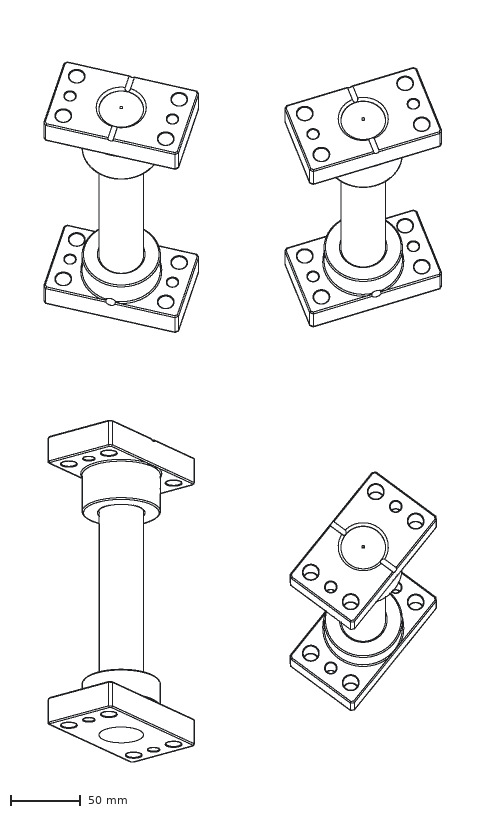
import cadquery as cq

total_height = 220.0
plate_length = 100.0
plate_width = 58.0
plate_thickness = 20.0
plate_corner_chamfer = 2.0
plate_edge_chamfer = 0.97

boss_diameter = 56.0
lower_flange_height = 40.0
upper_flange_height = 50.0
boss_end_chamfer = 1.0
boss_root_chamfer = 1.0
boss_bore_chamfer = 1.0
plate_bore_chamfer = 2.0

post_diameter = 32.0
post_end_fillet = 3.0
center_hole_diameter = 2.0
center_hole_depth = 4.0

hole_spacing_x = 76.1
bolt_spacing_y = 36.0
bolt_hole_diameter = 11.0
dowel_hole_diameter = 8.0
hole_mouth_chamfer = 0.5

oil_hole_diameter = 6.8
oil_groove_radius = 2.0


def make_plate_hole(diameter, x, y):
    """Cutter for a through hole at (x, y) whose mouths are chamfered on both plate faces."""
    radius = diameter / 2
    profile = [
        (0, 0),
        (radius + hole_mouth_chamfer, 0),
        (radius, hole_mouth_chamfer),
        (radius, plate_thickness - hole_mouth_chamfer),
        (radius + hole_mouth_chamfer, plate_thickness),
        (0, plate_thickness),
    ]
    cutter = cq.Workplane("XZ").polyline(profile).close().revolve(360, (0, 0, 0), (0, 1, 0))
    return cutter.translate((x, y, 0))


def make_plate():
    """Chamfered plate standing on Z = 0, with four bolt holes and two dowel holes."""
    plate = (
        cq.Workplane("XY")
        .box(plate_length, plate_width, plate_thickness, centered=(True, True, False))
        .edges("|Z")
        .chamfer(plate_corner_chamfer)
        .faces("<Z or >Z")
        .edges()
        .chamfer(plate_edge_chamfer)
    )
    for x in (-hole_spacing_x / 2, hole_spacing_x / 2):
        plate = plate.cut(make_plate_hole(dowel_hole_diameter, x, 0))
        for y in (-bolt_spacing_y / 2, bolt_spacing_y / 2):
            plate = plate.cut(make_plate_hole(bolt_hole_diameter, x, y))
    return plate


def make_boss(height):
    """Round boss on top of the plate, with a chamfered end and a sloped root.

    The root is trimmed where it would hang over the chamfered long edges of the plate.
    """
    radius = boss_diameter / 2
    profile = [
        (0, plate_thickness),
        (radius + boss_root_chamfer, plate_thickness),
        (radius, plate_thickness + boss_root_chamfer),
        (radius, height - boss_end_chamfer),
        (radius - boss_end_chamfer, height),
        (0, height),
    ]
    boss = cq.Workplane("XZ").polyline(profile).close().revolve(360, (0, 0, 0), (0, 1, 0))
    plate_top_area = cq.Workplane("XY").box(
        plate_length, plate_width - 2 * plate_edge_chamfer, height, centered=(True, True, False)
    )
    return boss.intersect(plate_top_area)


def make_bore_mouth(chamfer_size, z):
    """Cutter that widens the mouth of the bore at height z and narrows downwards to the post."""
    radius = post_diameter / 2
    profile = [(0, z), (radius + chamfer_size, z), (radius, z - chamfer_size), (0, z - chamfer_size)]
    return cq.Workplane("XZ").polyline(profile).close().revolve(360, (0, 0, 0), (0, 1, 0))


def make_flange(height):
    """Flange standing on Z = 0: a drilled plate and its boss, bored for the post."""
    bore = cq.Workplane("XY").circle(post_diameter / 2).extrude(height)
    boss_mouth = make_bore_mouth(boss_bore_chamfer, height)
    return make_plate().union(make_boss(height)).cut(bore).cut(boss_mouth)


def make_lower_flange():
    """Lower flange with an oil hole from its front face through to the post."""
    oil_hole = (
        cq.Workplane("XZ")
        .center(0, plate_thickness)
        .circle(oil_hole_diameter / 2)
        .extrude(plate_width / 2)
    )
    return make_flange(lower_flange_height).cut(oil_hole)


def make_upper_flange():
    """Upper flange, boss down, with a widened bore mouth and a groove across the top face."""
    flange = (
        make_flange(upper_flange_height)
        .rotate((0, 0, 0), (1, 0, 0), 180)
        .translate((0, 0, total_height))
    )
    oil_groove = (
        cq.Workplane("XZ")
        .center(0, total_height)
        .circle(oil_groove_radius)
        .extrude(plate_width / 2, both=True)
    )
    return flange.cut(make_bore_mouth(plate_bore_chamfer, total_height)).cut(oil_groove)


def make_post():
    """Post running the full height, rounded at the top around a small center hole."""
    post = (
        cq.Workplane("XY")
        .circle(post_diameter / 2)
        .extrude(total_height)
        .faces(">Z")
        .edges()
        .fillet(post_end_fillet)
    )
    return post.faces(">Z").workplane().hole(center_hole_diameter, center_hole_depth)


lower_flange = make_lower_flange()
upper_flange = make_upper_flange()
post = make_post()

bodies = (lower_flange, upper_flange, post)
result = cq.Compound.makeCompound([body.solids().val() for body in bodies])